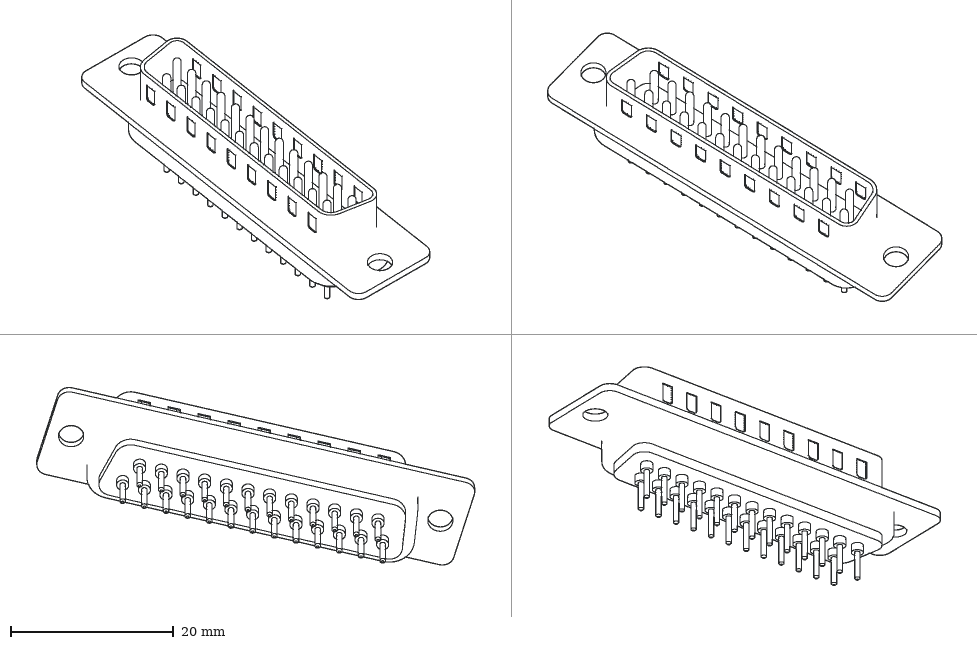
import cadquery as cq
import math

shell_top = 5.9
flange_thickness = 1.0
housing_bottom = -4.8
insert_bottom = -6.05
collar_bottom = -7.05
tail_end = -10.9
cavity_floor = -0.55

flange_length = 53.1
flange_width = 12.55
flange_corner_radius = 1.5
outline_margin = 0.25
mount_hole_spacing = 47.05
mount_hole_diameter = 3.1

shell_length = 38.55
shell_width = 7.9
side_tilt = math.radians(10)
wide_corner_radius = 1.6
narrow_corner_radius = 2.05
wall_thickness = 0.5
housing_offset = 1.5
edge_radius = 0.4

pin_pitch = 2.75
row_gap = 2.85
wide_row_count = 13
narrow_row_count = 12
pin_top = 5.2
pin_radius = 0.505
collar_radius = 0.75
tail_radius = 0.345
tail_chamfer = 0.2

dimple_count = 9
dimple_pitch = 3.8
dimple_width = 1.55
dimple_top = 4.35
dimple_bottom = 1.9
dimple_corner_radius = 0.35
dimple_depth = 0.15


def d_prism(offset, bottom, top):
    """Prism over the D outline grown outwards by `offset`."""
    wide_x = shell_length / 2 - wide_corner_radius
    wide_y = shell_width / 2 - wide_corner_radius
    narrow_y = narrow_corner_radius - shell_width / 2
    narrow_x = (
        wide_x
        - (wide_y - narrow_y) * math.tan(side_tilt)
        - (narrow_corner_radius - wide_corner_radius) / math.cos(side_tilt)
    )
    wide_r = wide_corner_radius + offset
    narrow_r = narrow_corner_radius + offset

    def on_wide(angle):
        return wide_x + wide_r * math.cos(angle), wide_y + wide_r * math.sin(angle)

    def on_narrow(angle):
        return narrow_x + narrow_r * math.cos(angle), narrow_y + narrow_r * math.sin(angle)

    def mirrored(point):
        return -point[0], point[1]

    up = math.pi / 2
    wide_mid = (up - side_tilt) / 2
    narrow_mid = (-up - side_tilt) / 2
    outline = (
        cq.Workplane("XY", origin=(0, 0, bottom))
        .moveTo(*mirrored(on_wide(up)))
        .lineTo(*on_wide(up))
        .threePointArc(on_wide(wide_mid), on_wide(-side_tilt))
        .lineTo(*on_narrow(-side_tilt))
        .threePointArc(on_narrow(narrow_mid), on_narrow(-up))
        .lineTo(*mirrored(on_narrow(-up)))
        .threePointArc(mirrored(on_narrow(narrow_mid)), mirrored(on_narrow(-side_tilt)))
        .lineTo(*mirrored(on_wide(-side_tilt)))
        .threePointArc(mirrored(on_wide(wide_mid)), mirrored(on_wide(up)))
        .close()
    )
    return outline.extrude(top - bottom)


def make_flange():
    return (
        cq.Workplane("XY")
        .rect(flange_length, flange_width)
        .extrude(-flange_thickness)
        .edges("|Z")
        .fillet(flange_corner_radius)
    )


def make_body():
    """Flange with the shell above, the housing and the insert below."""
    housing = d_prism(housing_offset, housing_bottom, -flange_thickness)
    housing = housing.faces("<Z").edges().fillet(edge_radius)
    body = make_flange().union(d_prism(0, 0, shell_top)).union(housing)

    reach_x = flange_length / 2 - outline_margin
    reach_y = flange_width / 2 - outline_margin
    root_edges = cq.selectors.BoxSelector(
        (-reach_x, -reach_y, -flange_thickness - outline_margin),
        (reach_x, reach_y, outline_margin),
    )
    body = body.edges("#Z").edges(root_edges).fillet(edge_radius)

    body = body.union(d_prism(0, insert_bottom, housing_bottom))
    return body.cut(d_prism(-wall_thickness, cavity_floor, shell_top))


def make_mount_holes():
    return (
        cq.Workplane("XY")
        .pushPoints([(-mount_hole_spacing / 2, 0), (mount_hole_spacing / 2, 0)])
        .circle(mount_hole_diameter / 2)
        .extrude(-flange_thickness)
    )


def make_contact():
    """Contact on the Z axis: domed pin, collar and chamfered solder tail."""
    dome = pin_radius * math.sin(math.pi / 4)
    dome_base = pin_top - pin_radius
    return (
        cq.Workplane("XZ")
        .moveTo(0, pin_top)
        .threePointArc((dome, dome_base + dome), (pin_radius, dome_base))
        .lineTo(pin_radius, insert_bottom)
        .lineTo(collar_radius, insert_bottom)
        .lineTo(collar_radius, collar_bottom)
        .lineTo(tail_radius, collar_bottom)
        .lineTo(tail_radius, tail_end + tail_chamfer)
        .lineTo(tail_radius - tail_chamfer, tail_end)
        .lineTo(0, tail_end)
        .close()
        .revolve(360, (0, 0, 0), (0, 1, 0))
    )


def make_contacts():
    """Two staggered rows of contacts, the longer one on the wide side."""
    contact = make_contact()
    contacts = cq.Workplane("XY")
    for count, y in ((wide_row_count, row_gap / 2), (narrow_row_count, -row_gap / 2)):
        for i in range(count):
            x = (i - (count - 1) / 2) * pin_pitch
            contacts.add(contact.translate((x, y, 0)))
    return contacts.combine()


def make_dimples():
    """Shallow recesses in the outer and inner faces of both long walls."""
    outer_y = shell_width / 2 - dimple_depth / 2
    inner_y = shell_width / 2 - wall_thickness + dimple_depth / 2
    height = dimple_top - dimple_bottom
    dimple = (
        cq.Workplane("XY")
        .box(dimple_width, dimple_depth, height)
        .edges("|Y and <Z")
        .fillet(dimple_corner_radius)
        .translate((0, 0, dimple_bottom + height / 2))
    )
    dimples = cq.Workplane("XY")
    for i in range(dimple_count):
        x = (i - (dimple_count - 1) / 2) * dimple_pitch
        for y in (-outer_y, -inner_y, inner_y, outer_y):
            dimples.add(dimple.translate((x, y, 0)))
    return dimples.combine()


body = make_body().cut(make_mount_holes()).cut(make_dimples())
result = body.union(make_contacts())